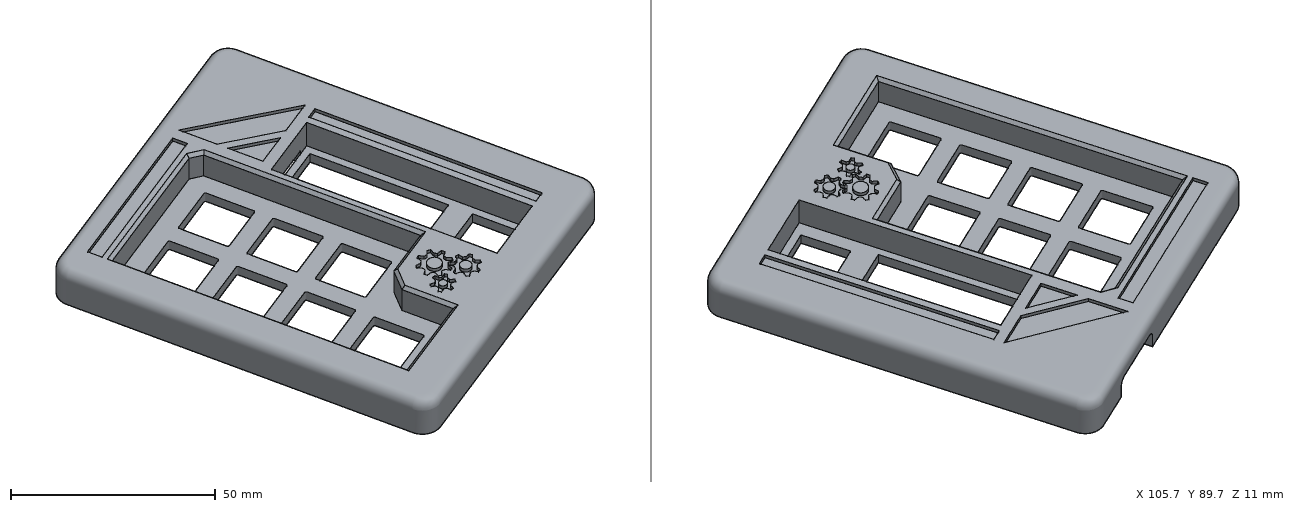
import cadquery as cq
import math

LENGTH = 105.7
WIDTH = 89.7
HEIGHT = 11.0
CORNER_RADIUS = 5.1
TOP_EDGE_RADIUS = 3.0

PLATE = 3.0
GROOVE_DEPTH = 1.0
POCKET_CHAMFER = 0.9

PANEL_LEFT = -46.7
PANEL_RIGHT = 42.1
PANEL_TOP = 33.9
PANEL_BOTTOM = -36.0
KEY_TOP = 8.7

KEY_LEFT = -41.2
KEY_CORNER_CUT = 3.2
NOTCH_X = 23.2
NOTCH_Y = -10.1
NOTCH_CUT = 4.2

KEY_SIZE = 14.0
KEY_CORNER_RADIUS = 0.4
KEY_PITCH = 18.9
FIRST_KEY_X = -27.8
LOWER_KEY_Y = -23.2
KEYS_PER_ROW = (4, 3)

DISPLAY_LEFT = -20.3
DISPLAY_BOTTOM = 10.3
DISPLAY_TOP = 28.8
WINDOW_TOP = 26.7
SCREEN_LEFT = -18.3
SCREEN_LENGTH = 38.3
SCREEN_WIDTH = 14.6
SMALL_WINDOW_LEFT = 26.6
SMALL_WINDOW_LENGTH = 13.3
SMALL_WINDOW_WIDTH = 12.9

TOP_BAR_LEFT = -20.7
TOP_BAR_WIDTH = 3.3
SIDE_BAR_WIDTH = 4.0
TRIANGLE_RIGHT = -23.5
TRIANGLE_BOTTOM = 11.8
STRIPE_LENGTH = 10.6
STRIPE_GAP = 3.0

GEARS = (
    (30.1, 0.1, 8, 0.0, 4.7, 3.4, 3.9),
    (37.2, 3.1, 7, 99.0, 3.9, 2.9, 3.1),
    (35.2, -5.1, 6, 104.0, 3.2, 2.0, 2.2),
)
TOOTH_ROOT_SHARE = 0.64
TOOTH_TIP_SHARE = 0.25

PLUG_Y = 20.0
PLUG_RECESS_WIDTH = 18.6
PLUG_RECESS_HEIGHT = 5.7
PLUG_RECESS_RADIUS = 2.0
PLUG_RECESS_DEPTH = 5.3
PLUG_WIDTH = 11.0
PLUG_HEIGHT = 4.0


def block(x_min, x_max, y_min, y_max, z_min, z_max):
    size = (x_max - x_min, y_max - y_min, z_max - z_min)
    return cq.Workplane("XY").box(*size, centered=False).translate((x_min, y_min, z_min))


def groove(points):
    """Shallow recess in the top face with a straight-sided outline."""
    floor = cq.Workplane("XY").workplane(offset=HEIGHT - GROOVE_DEPTH)
    return floor.polyline(points).close().extrude(GROOVE_DEPTH)


def bar(x_min, x_max, y_min, y_max):
    return block(x_min, x_max, y_min, y_max, HEIGHT - GROOVE_DEPTH, HEIGHT)


def make_body():
    body = cq.Workplane("XY").box(LENGTH, WIDTH, HEIGHT, centered=(True, True, False))
    body = body.edges("|Z").fillet(CORNER_RADIUS)
    return body.faces(">Z").edges().fillet(TOP_EDGE_RADIUS)


def key_pocket():
    outline = [
        (KEY_LEFT, PANEL_BOTTOM),
        (PANEL_RIGHT, PANEL_BOTTOM),
        (PANEL_RIGHT, NOTCH_Y),
        (NOTCH_X + NOTCH_CUT, NOTCH_Y),
        (NOTCH_X, NOTCH_Y + NOTCH_CUT),
        (NOTCH_X, KEY_TOP),
        (KEY_LEFT + KEY_CORNER_CUT, KEY_TOP),
        (KEY_LEFT, KEY_TOP - KEY_CORNER_CUT),
    ]
    base = cq.Workplane("XY")
    lip = base.polyline(outline).close().extrude(2 * POCKET_CHAMFER).faces("<Z").chamfer(POCKET_CHAMFER)
    lip = lip.translate((0, 0, HEIGHT - POCKET_CHAMFER))
    walls = base.polyline(outline).close().offset2D(-POCKET_CHAMFER, "intersection")
    pocket = walls.extrude(HEIGHT - PLATE).translate((0, 0, PLATE))
    return pocket.union(lip)


def key_openings():
    centres = [
        (FIRST_KEY_X + column * KEY_PITCH, LOWER_KEY_Y + row * KEY_PITCH)
        for row, count in enumerate(KEYS_PER_ROW)
        for column in range(count)
    ]
    openings = cq.Workplane("XY").pushPoints(centres).rect(KEY_SIZE, KEY_SIZE).extrude(HEIGHT)
    return openings.edges("|Z").fillet(KEY_CORNER_RADIUS)


def window(left, length, width):
    """Opening through the plate, hanging from the shared upper edge of the windows."""
    return block(left, left + length, WINDOW_TOP - width, WINDOW_TOP, 0, HEIGHT)


def display_pocket():
    pocket = block(DISPLAY_LEFT, PANEL_RIGHT, DISPLAY_BOTTOM, DISPLAY_TOP, PLATE, HEIGHT)
    screen = window(SCREEN_LEFT, SCREEN_LENGTH, SCREEN_WIDTH)
    small_window = window(SMALL_WINDOW_LEFT, SMALL_WINDOW_LENGTH, SMALL_WINDOW_WIDTH)
    return pocket.union(screen).union(small_window)


def bars():
    top_bar = bar(TOP_BAR_LEFT, PANEL_RIGHT, PANEL_TOP - TOP_BAR_WIDTH, PANEL_TOP)
    side_bar = bar(PANEL_LEFT, PANEL_LEFT + SIDE_BAR_WIDTH, PANEL_BOTTOM, KEY_TOP)
    return top_bar.union(side_bar)


def triangles():
    """One triangle split by a parallel gap into a sloping stripe and a small triangle."""
    slope = (PANEL_TOP - TRIANGLE_BOTTOM) / (TRIANGLE_RIGHT - PANEL_LEFT)
    stripe_end = PANEL_LEFT + STRIPE_LENGTH
    small_start = stripe_end + STRIPE_GAP

    def right_edge_point(start):
        return (TRIANGLE_RIGHT, TRIANGLE_BOTTOM + slope * (TRIANGLE_RIGHT - start))

    stripe = groove(
        [
            (PANEL_LEFT, TRIANGLE_BOTTOM),
            (stripe_end, TRIANGLE_BOTTOM),
            right_edge_point(stripe_end),
            right_edge_point(PANEL_LEFT),
        ]
    )
    small_triangle = groove(
        [
            (small_start, TRIANGLE_BOTTOM),
            (TRIANGLE_RIGHT, TRIANGLE_BOTTOM),
            right_edge_point(small_start),
        ]
    )
    return stripe.union(small_triangle)


def gear(x, y, teeth, first_angle, tip_radius, root_radius, bore):
    """Gear-shaped groove around a hub left standing level with the top face."""
    pitch = 2 * math.pi / teeth
    outline = []
    for tooth in range(teeth):
        middle = math.radians(first_angle) + tooth * pitch
        for radius, share in (
            (root_radius, -TOOTH_ROOT_SHARE),
            (tip_radius, -TOOTH_TIP_SHARE),
            (tip_radius, TOOTH_TIP_SHARE),
            (root_radius, TOOTH_ROOT_SHARE),
        ):
            angle = middle + share * pitch / 2
            outline.append((x + radius * math.cos(angle), y + radius * math.sin(angle)))
    hub = cq.Workplane("XY").circle(bore / 2).extrude(HEIGHT).translate((x, y, 0))
    return groove(outline).cut(hub)


def plug_opening():
    """Rounded recess for the plug body, with a channel on to the display pocket."""
    wall = -LENGTH / 2
    recess_side = PLUG_RECESS_WIDTH / 2
    recess = block(wall, wall + PLUG_RECESS_DEPTH, -recess_side, recess_side, 0, PLUG_RECESS_HEIGHT)
    recess = recess.edges("|X and >Z").fillet(PLUG_RECESS_RADIUS)
    channel_side = PLUG_WIDTH / 2
    channel = block(wall, DISPLAY_LEFT, -channel_side, channel_side, 0, PLUG_HEIGHT)
    return recess.union(channel).translate((0, PLUG_Y, 0))


result = make_body()
for cutter in (key_pocket(), key_openings(), display_pocket(), bars(), triangles(), plug_opening()):
    result = result.cut(cutter)
for gear_sizes in GEARS:
    result = result.cut(gear(*gear_sizes))